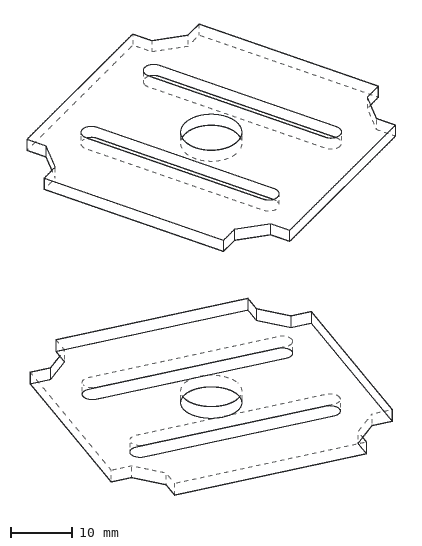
import cadquery as cq

plate_side = 49.8
plate_thickness = 2.25

edge_length = 34.0
step_depth = 3.6

center_hole_diameter = 10.0
slot_length = 37.0
slot_width = 3.4
slot_spacing = 20.0

half_side = plate_side / 2
half_edge = edge_length / 2
step_line = half_side - step_depth


def make_plate():
    """Square plate with the same stepped, diagonal notch at all four corners."""
    corner = [
        (half_side, half_edge),
        (step_line, half_edge),
        (half_edge, step_line),
        (half_edge, half_side),
    ]
    outline = []
    for _ in range(4):
        outline += corner
        corner = [(-y, x) for x, y in corner]
    return cq.Workplane("XY").polyline(outline).close().extrude(plate_thickness)


def cut_center_hole(plate):
    """Round hole through the middle of the plate."""
    return plate.faces(">Z").workplane(origin=(0, 0, 0)).hole(center_hole_diameter)


def cut_slots(plate):
    """Two through slots along X, one on each side of the centre hole."""
    slot_centers = [(0, side * slot_spacing / 2) for side in (-1, 1)]
    slots = (
        cq.Workplane("XY")
        .pushPoints(slot_centers)
        .slot2D(slot_length, slot_width)
        .extrude(plate_thickness)
    )
    return plate.cut(slots)


result = cut_slots(cut_center_hole(make_plate()))